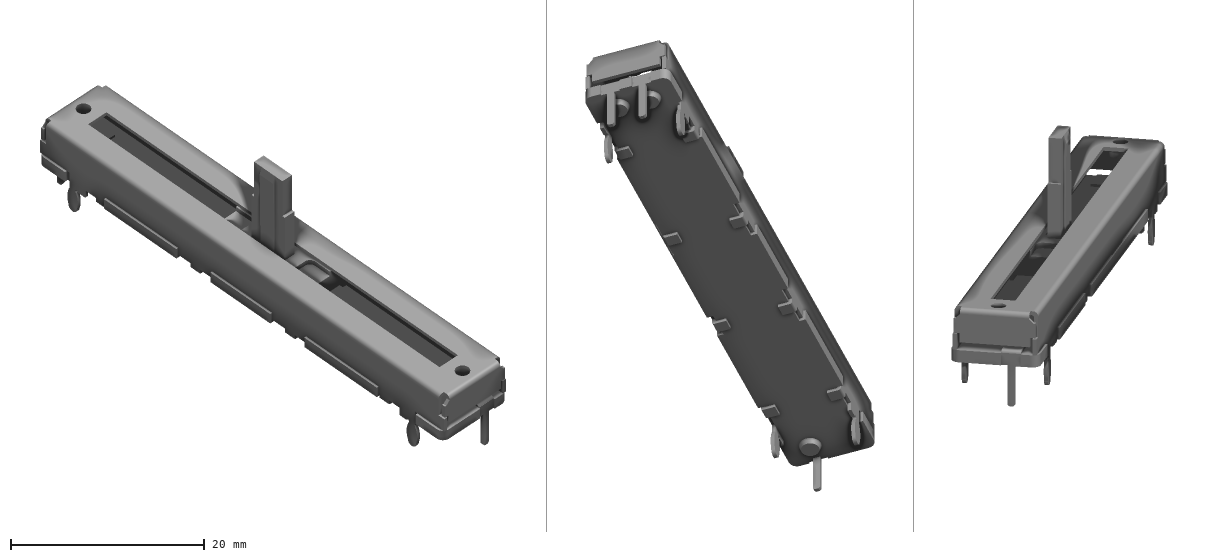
import cadquery as cq

length = 60.0
half_length = length / 2
sheet = 0.4

cover_width = 8.9
cover_half_length = 29.95
cover_top = 5.8
cover_inner_top = cover_top - sheet
cover_half_width = cover_width / 2
wall_inner_y = cover_half_width - sheet
bend_radius = 0.55
inner_bend_radius = 0.3
wall_tab_bottom = 0.35
corner_notch = 0.85
corner_notch_bottom = 3.05
ear_half_width = 4.3
ear_top = 4.75
ear_top_half_width = 4.15
end_plate_top_half_width = 3.65
end_plate_shoulder = 5.2
end_plate_half_width = 3.7
end_plate_bottom = 2.15
ear_bottom = 3.2
slot_length = 52.1
slot_width = 2.65
mount_hole_x = 28.1
mount_hole_diameter = 1.6
collar_wall = 0.4
collar_diameter = mount_hole_diameter + 2 * collar_wall
collar_length = 1.45

front_tabs = [(-25.55, -20.2), (-9.5, -4.45), (4.45, 9.5), (20.2, 25.55)]
back_tabs = [(-25.9, -20.3), (5.6, 8.5), (20.3, 25.9)]
slotted_back_tab = (-9.5, -4.5)
tab_slot_width = 0.1

clinch_xs = [-21.0, -7.0, 7.0, 21.0]
clinch_width = 1.3
clinch_inner_y = 2.9
clinch_thickness = 0.35
clinch_bend_radius = 0.3

leg_axis_x = 24.55
neck_outer = 1.0
neck_inner = 1.25
neck_bottom = -0.65
leg_inner = 0.2
leg_center = 0.6
leg_tip_radius = 0.6
leg_bulge = 0.8
leg_bulge_z = -2.15
leg_tip_center_z = -3.2
leg_relief_diameter = 0.4

board_width = 9.4
board_thickness = 1.3
board_corner_radius = 0.9
flange_relief_x = 26.0
flange_relief_y = 4.3

terminal_y = 1.75
terminal_places = [(-1, -terminal_y), (-1, terminal_y), (1, terminal_y)]
terminal_width = 2.1
terminal_recess = 0.2
terminal_inner_x = 26.3
terminal_bend_radius = 0.4
strip_top = 1.6
pin_width = 0.8
pin_bottom = -4.45
pin_chamfer = 0.2
rivet_x = 27.55
rivet_diameter = 2.4
rivet_tip_diameter = 1.9
rivet_height = 0.55

carriage_length = 13.9
carriage_width = 2 * end_plate_half_width
carriage_bottom = 2.2
carriage_top = 5.0
foot_thickness = 0.4
foot_bottom = 1.6
end_recess_x = 4.0
end_recess_width = 2.9
end_recess_corner_radius = 0.8
end_recess_depth = 0.6
stem_pocket_length = 2.9
stem_pocket_width = 2.35
stem_pocket_depth = 0.2
stem_top = 15.8
stem_step_z = 10.9
stem_lower_width = 4.9
stem_upper_width = 4.2
stem_thickness = 1.4
rib_width = 2.0
rib_base_y = 0.85
rib_top_y = 0.95
rib_chamfer_z = 14.9


def block(x0, x1, y0, y1, z0, z1):
    """Box between two opposite corners, the limits given in any order per axis."""
    return (
        cq.Workplane("XY", origin=((x0 + x1) / 2, (y0 + y1) / 2, (z0 + z1) / 2))
        .box(abs(x1 - x0), abs(y1 - y0), abs(z1 - z0))
    )


def cylinder(x, y, z0, z1, diameter):
    return cq.Workplane("XY", origin=(x, y, z0)).circle(diameter / 2).extrude(z1 - z0)


def cover_end_zone():
    """Space kept by both end plates, with their shoulders and ears, and by the top strip joining them."""
    half_outline = [
        (end_plate_top_half_width, cover_top),
        (end_plate_top_half_width, end_plate_shoulder),
        (ear_top_half_width, ear_top),
        (ear_half_width, ear_top),
        (ear_half_width, ear_bottom),
        (end_plate_half_width, ear_bottom),
        (end_plate_half_width, end_plate_bottom),
    ]
    other_half = [(-y, z) for y, z in reversed(half_outline)]
    plate = (
        cq.Workplane("YZ", origin=(cover_half_length - sheet, 0, 0))
        .polyline(half_outline + other_half)
        .close()
        .extrude(sheet)
    )
    top_strip = block(
        -cover_half_length, cover_half_length,
        -end_plate_top_half_width, end_plate_top_half_width, cover_inner_top, cover_top,
    )
    return top_strip.union(plate).union(plate.mirror("YZ"))


def cover_wall_zone():
    """Space kept by the top and the side walls; only the foot of each wall reaches the ends."""
    notch_x = cover_half_length - corner_notch
    zone = block(-notch_x, notch_x, -cover_half_width, cover_half_width, 0, cover_top)
    for side in (-1, 1):
        wall_foot = block(
            -cover_half_length, cover_half_length,
            side * wall_inner_y, side * cover_half_width, 0, corner_notch_bottom,
        )
        zone = zone.union(wall_foot)
    return zone


def make_cover():
    shell = (
        block(
            -cover_half_length, cover_half_length,
            -cover_half_width, cover_half_width, board_thickness, cover_top,
        )
        .faces(">Z").edges()
        .fillet(bend_radius)
    )
    inner_x = cover_half_length - sheet
    cavity = (
        block(-inner_x, inner_x, -wall_inner_y, wall_inner_y, board_thickness, cover_inner_top)
        .faces(">Z").edges()
        .fillet(inner_bend_radius)
    )
    cover = shell.cut(cavity).intersect(cover_wall_zone().union(cover_end_zone()))

    for x in (-mount_hole_x, mount_hole_x):
        collar_bottom = cover_top - collar_length
        cover = cover.union(cylinder(x, 0, collar_bottom, cover_inner_top, collar_diameter))
        cover = cover.cut(cylinder(x, 0, collar_bottom, cover_top, mount_hole_diameter))
    return cover.cut(
        block(-slot_length / 2, slot_length / 2, -slot_width / 2, slot_width / 2, cover_inner_top, cover_top)
    )


def wall_tab(x0, x1, side):
    return block(
        x0, x1, side * wall_inner_y, side * cover_half_width, wall_tab_bottom, board_thickness
    )


def clinch_tab(x, side):
    x0 = x - clinch_width / 2
    x1 = x + clinch_width / 2
    drop = block(x0, x1, side * wall_inner_y, side * cover_half_width, -clinch_thickness, wall_tab_bottom)
    fold = block(x0, x1, side * clinch_inner_y, side * cover_half_width, -clinch_thickness, 0)
    outer_edge = "<Y" if side < 0 else ">Y"
    return drop.union(fold).faces("<Z").edges(outer_edge).fillet(clinch_bend_radius)


def front_snap_leg():
    """Snap-in leg at the front of the -X end; its bulb lies on the outer side of the axis."""
    axis = -leg_axis_x
    neck_x0 = axis - neck_outer
    leg_x1 = axis - leg_inner
    center = axis - leg_center
    outline_plane = cq.Workplane("XZ", origin=(0, -wall_inner_y, 0))
    neck = block(neck_x0, axis + neck_inner, -cover_half_width, -wall_inner_y, neck_bottom, wall_tab_bottom)
    bulb = (
        outline_plane
        .moveTo(neck_x0, neck_bottom)
        .threePointArc((center - leg_bulge, leg_bulge_z), (center - leg_tip_radius, leg_tip_center_z))
        .threePointArc((center, leg_tip_center_z - leg_tip_radius), (center + leg_tip_radius, leg_tip_center_z))
        .threePointArc((center + leg_bulge, leg_bulge_z), (leg_x1, neck_bottom))
        .close()
        .extrude(sheet)
    )
    relief = outline_plane.center(axis, neck_bottom).circle(leg_relief_diameter / 2).extrude(sheet)
    return neck.union(bulb).cut(relief)


def make_snap_legs():
    front = front_snap_leg()
    back = front.rotate((-leg_axis_x, 0, 0), (-leg_axis_x, 0, 1), 180)
    pair = front.union(back)
    return pair.union(pair.mirror("YZ"))


def make_board():
    board = (
        cq.Workplane("XY")
        .rect(length, board_width)
        .extrude(board_thickness)
        .edges("|Z")
        .fillet(board_corner_radius)
    )
    half_width = board_width / 2
    for side, tabs in ((-1, front_tabs), (1, back_tabs)):
        for x0, x1 in tabs:
            board = board.cut(block(x0, x1, side * wall_inner_y, side * half_width, 0, board_thickness))
        tab_end_x = tabs[-1][1]
        for end in (-1, 1):
            relief = block(
                end * tab_end_x, end * flange_relief_x,
                side * flange_relief_y, side * half_width, 0, board_thickness,
            )
            board = board.cut(relief)
    x0, x1 = slotted_back_tab
    slot_y1 = cover_half_width + tab_slot_width
    return board.cut(block(x0, x1, cover_half_width, slot_y1, 0, board_thickness))


def terminal_recess_block(end, y):
    return block(
        end * half_length, end * (half_length - terminal_recess),
        y - terminal_width / 2, y + terminal_width / 2, 0, board_thickness,
    )


def make_terminal(y):
    """Terminal at the -X end: strip on the board, bent down over its end into a pin, with a rivet."""
    outer_x = terminal_recess - half_length
    y0 = y - terminal_width / 2
    y1 = y + terminal_width / 2
    strip = (
        block(outer_x, -terminal_inner_x, y0, y1, 0, strip_top)
        .edges("<X and >Z")
        .fillet(terminal_bend_radius)
    )
    pin = (
        block(outer_x, outer_x + sheet, y - pin_width / 2, y + pin_width / 2, pin_bottom, 0)
        .faces("<Z").edges("|X")
        .chamfer(pin_chamfer)
    )
    rivet = (
        cq.Workplane("XY", origin=(-rivet_x, y, 0))
        .circle(rivet_diameter / 2)
        .workplane(offset=-rivet_height)
        .circle(rivet_tip_diameter / 2)
        .loft()
    )
    return strip.union(pin).union(rivet)


def make_frame():
    frame = make_cover().union(make_board())
    for side, tabs in ((-1, front_tabs), (1, back_tabs)):
        for x0, x1 in tabs:
            frame = frame.union(wall_tab(x0, x1, side))
        for x in clinch_xs:
            frame = frame.union(clinch_tab(x, side))
    frame = frame.union(make_snap_legs())
    for end, y in terminal_places:
        terminal = make_terminal(y)
        if end > 0:
            terminal = terminal.mirror("YZ")
        frame = frame.cut(terminal_recess_block(end, y)).union(terminal)
    return frame


def make_carriage():
    half_x = carriage_length / 2
    half_y = carriage_width / 2
    carriage = block(-half_x, half_x, -half_y, half_y, carriage_bottom, carriage_top)
    for side in (-1, 1):
        foot = block(-half_x, half_x, side * (half_y - foot_thickness), side * half_y,
                     foot_bottom, carriage_bottom)
        carriage = carriage.union(foot)
    recess_y = end_recess_width / 2
    recess = (
        block(end_recess_x, half_x, -recess_y, recess_y, carriage_top - end_recess_depth, carriage_top)
        .edges("|Z and <X")
        .fillet(end_recess_corner_radius)
    )
    carriage = carriage.cut(recess).cut(recess.mirror("YZ"))
    pocket_x = stem_pocket_length / 2
    pocket_y = stem_pocket_width / 2
    return carriage.cut(
        block(-pocket_x, pocket_x, -pocket_y, pocket_y, carriage_top - stem_pocket_depth, carriage_top)
    )


def make_stem():
    base_z = carriage_top - stem_pocket_depth
    half_y = stem_thickness / 2
    lower_x = stem_lower_width / 2
    upper_x = stem_upper_width / 2
    stem = block(-lower_x, lower_x, -half_y, half_y, base_z, stem_step_z)
    stem = stem.union(block(-upper_x, upper_x, -half_y, half_y, stem_step_z, stem_top))
    ribs = (
        cq.Workplane("YZ")
        .polyline([
            (-rib_base_y, base_z), (-rib_top_y, rib_chamfer_z), (-half_y, stem_top),
            (half_y, stem_top), (rib_top_y, rib_chamfer_z), (rib_base_y, base_z),
        ])
        .close()
        .extrude(rib_width / 2, both=True)
    )
    return stem.union(ribs)


frame = make_frame()
lever = make_carriage().union(make_stem())

result = cq.Compound.makeCompound([frame.val(), lever.val()])